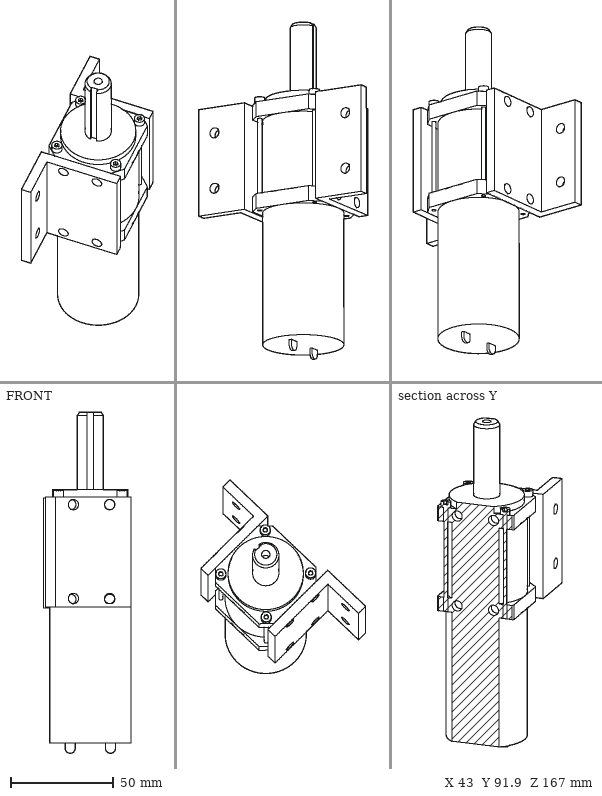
import cadquery as cq

BODY_DIAMETER = 39.9
BODY_HALF = BODY_DIAMETER / 2
CAN_LENGTH = 66.6
GEARBOX_LENGTH = 54.0
FLANGE_THICKNESS = 7.5
FLANGE_CHAMFER = 5.0
BOSS_DIAMETER = 36.9
BOSS_HEIGHT = 3.5

GEARBOX_BOTTOM = CAN_LENGTH
GEARBOX_TOP = GEARBOX_BOTTOM + GEARBOX_LENGTH
UPPER_FLANGE_BOTTOM = GEARBOX_TOP - FLANGE_THICKNESS
BOSS_TOP = GEARBOX_TOP + BOSS_HEIGHT

SIDE_HOLE_DIAMETER = 5.0
SIDE_HOLE_PITCH = 19.0
SIDE_HOLE_DEPTH = 8.0

SHAFT_DIAMETER = 12.9
SHAFT_LENGTH = 37.9
SHAFT_CHAMFER_LENGTH = 1.7
SHAFT_CHAMFER_DEPTH = 1.0
SHAFT_HOLE_DIAMETER = 4.0
SHAFT_HOLE_DEPTH = 10.0
KEYWAY_WIDTH = 3.2
KEYWAY_FLOOR = 4.8
SHAFT_TOP = BOSS_TOP + SHAFT_LENGTH

TERMINAL_WIDTH = 5.0
TERMINAL_LENGTH = 5.0
TERMINAL_THICKNESS = 1.3
TERMINAL_SPACING = 19.7

SCREW_OFFSET = 15.5
SCREW_DIAMETER = 2.0
SCREW_HEAD_DIAMETER = 5.0
SCREW_HEAD_HEIGHT = 3.0
SOCKET_SIDES = 6
SOCKET_CORNER_DIAMETER = 2.3
SOCKET_DEPTH = 1.5

BRACKET_WIDTH = 42.0
BRACKET_DEPTH = 26.0
BRACKET_THICKNESS = 5.0
BRACKET_HEIGHT = GEARBOX_LENGTH
BRACKET_HOLE_DIAMETER = 5.0
PLATE_HOLE_PITCH_X = 17.7
PLATE_HOLE_PITCH_Z = 46.0
PLATE_HOLE_EDGE = 10.5
PLATE_HOLE_TOP = 3.8
LEG_HOLE_PITCH = 28.0
LEG_HOLE_EDGE = 9.0
REAR_BRACKET_SHIFT = (-1.0, 0, -0.5)


def cylinder(diameter, bottom, height):
    """Upright cylinder on the motor axis."""
    return cq.Workplane("XY").workplane(offset=bottom).circle(diameter / 2).extrude(height)


def make_flange(bottom):
    """Square flange with chamfered corners."""
    return (
        cq.Workplane("XY", origin=(0, 0, bottom))
        .rect(BODY_DIAMETER, BODY_DIAMETER)
        .extrude(FLANGE_THICKNESS)
        .edges("|Z")
        .chamfer(FLANGE_CHAMFER)
    )


def make_side_holes():
    """Cutters for the blind holes at mid-thickness of both flanges, on the -Y and +Y sides."""
    holes = (
        cq.Workplane("XZ", origin=(0, -BODY_HALF, GEARBOX_BOTTOM + GEARBOX_LENGTH / 2))
        .rarray(SIDE_HOLE_PITCH, GEARBOX_LENGTH - FLANGE_THICKNESS, 2, 2)
        .circle(SIDE_HOLE_DIAMETER / 2)
        .extrude(-SIDE_HOLE_DEPTH)
    )
    return holes.union(holes.mirror("XZ"))


def make_shaft():
    """Output shaft with a chamfered end, a centre hole and a full-length keyway on its -Y side."""
    radius = SHAFT_DIAMETER / 2
    shaft = (
        cq.Workplane("XZ")
        .moveTo(0, BOSS_TOP)
        .lineTo(radius, BOSS_TOP)
        .lineTo(radius, SHAFT_TOP - SHAFT_CHAMFER_LENGTH)
        .lineTo(radius - SHAFT_CHAMFER_DEPTH, SHAFT_TOP)
        .lineTo(0, SHAFT_TOP)
        .close()
        .revolve()
    )
    centre_hole = cylinder(SHAFT_HOLE_DIAMETER, SHAFT_TOP - SHAFT_HOLE_DEPTH, SHAFT_HOLE_DEPTH)
    keyway = cq.Workplane("XY", origin=(0, -radius, BOSS_TOP)).box(
        KEYWAY_WIDTH, radius - KEYWAY_FLOOR, SHAFT_LENGTH, centered=(True, False, False)
    )
    return shaft.cut(centre_hole).cut(keyway)


def make_terminal(x):
    """Flat terminal tab with a round lower end, hanging from the motor can."""
    half_width = TERMINAL_WIDTH / 2
    straight = TERMINAL_LENGTH - half_width
    return (
        cq.Workplane("XZ", origin=(x, 0, 0))
        .moveTo(-half_width, 0)
        .lineTo(-half_width, -straight)
        .threePointArc((0, -TERMINAL_LENGTH), (half_width, -straight))
        .lineTo(half_width, 0)
        .close()
        .extrude(TERMINAL_THICKNESS / 2, both=True)
    )


def make_gearmotor():
    """Motor can, gearbox, shaft and terminals as one body, with holes that fit the screws."""
    gearmotor = (
        cylinder(BODY_DIAMETER, 0, UPPER_FLANGE_BOTTOM)
        .union(make_flange(GEARBOX_BOTTOM))
        .union(make_flange(UPPER_FLANGE_BOTTOM))
        .union(cylinder(BOSS_DIAMETER, GEARBOX_TOP, BOSS_HEIGHT))
        .union(make_shaft())
    )
    for x in (-TERMINAL_SPACING / 2, TERMINAL_SPACING / 2):
        gearmotor = gearmotor.union(make_terminal(x))
    screw_holes = (
        cq.Workplane("XY", origin=(0, 0, GEARBOX_BOTTOM))
        .rect(2 * SCREW_OFFSET, 2 * SCREW_OFFSET, forConstruction=True)
        .vertices()
        .circle(SCREW_DIAMETER / 2)
        .extrude(GEARBOX_LENGTH)
    )
    return gearmotor.cut(screw_holes).cut(make_side_holes())


def make_screw(x, y, socket_angle):
    """Socket-head screw that runs through both flanges; its head rests on the upper one."""
    head = cylinder(SCREW_HEAD_DIAMETER, GEARBOX_TOP, SCREW_HEAD_HEIGHT)
    shank = cylinder(SCREW_DIAMETER, GEARBOX_BOTTOM, GEARBOX_LENGTH)
    socket = (
        cq.Workplane("XY", origin=(0, 0, GEARBOX_TOP + SCREW_HEAD_HEIGHT))
        .polygon(SOCKET_SIDES, SOCKET_CORNER_DIAMETER)
        .extrude(-SOCKET_DEPTH)
        .rotate((0, 0, 0), (0, 0, 1), socket_angle)
    )
    return head.union(shank).cut(socket).translate((x, y, 0))


def make_bracket():
    """Angle bracket on the -Y side: a plate along the gearbox and a leg pointing outward."""
    right = BODY_HALF
    left = right - BRACKET_WIDTH
    inner = -BODY_HALF
    outer = inner - BRACKET_DEPTH
    bracket = (
        cq.Workplane("XY", origin=(0, 0, GEARBOX_BOTTOM))
        .moveTo(left, inner)
        .lineTo(right, inner)
        .lineTo(right, inner - BRACKET_THICKNESS)
        .lineTo(left + BRACKET_THICKNESS, inner - BRACKET_THICKNESS)
        .lineTo(left + BRACKET_THICKNESS, outer)
        .lineTo(left, outer)
        .close()
        .extrude(BRACKET_HEIGHT)
    )
    plate_hole_x = right - PLATE_HOLE_EDGE - PLATE_HOLE_PITCH_X / 2
    plate_hole_z = GEARBOX_TOP - PLATE_HOLE_TOP - PLATE_HOLE_PITCH_Z / 2
    plate_holes = (
        cq.Workplane("XZ", origin=(plate_hole_x, inner, plate_hole_z))
        .rarray(PLATE_HOLE_PITCH_X, PLATE_HOLE_PITCH_Z, 2, 2)
        .circle(BRACKET_HOLE_DIAMETER / 2)
        .extrude(BRACKET_THICKNESS)
    )
    leg_hole_z = GEARBOX_BOTTOM + BRACKET_HEIGHT / 2
    leg_holes = (
        cq.Workplane("YZ", origin=(left, outer + LEG_HOLE_EDGE, leg_hole_z))
        .rarray(1.7, LEG_HOLE_PITCH, 1, 2)
        .circle(BRACKET_HOLE_DIAMETER / 2)
        .extrude(BRACKET_THICKNESS)
    )
    return bracket.cut(plate_holes).cut(leg_holes)


gearmotor = make_gearmotor()

screws = []
for x_side in (-1, 1):
    for y_side in (-1, 1):
        angle = 90 if x_side == y_side else 0
        screws.append(make_screw(x_side * SCREW_OFFSET, y_side * SCREW_OFFSET, angle))

front_bracket = make_bracket()
rear_bracket = make_bracket().mirror("XZ").translate(REAR_BRACKET_SHIFT)

result = cq.Compound.makeCompound(
    [
        gearmotor.val(),
        *[screw.val() for screw in screws],
        front_bracket.val(),
        rear_bracket.val(),
    ]
)